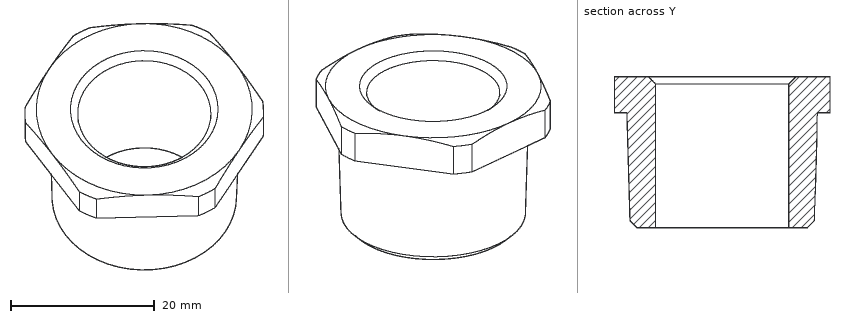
import cadquery as cq
import math

across_flats = 30.0
corner_diameter = 33.2
head_height = 5.0
chamfer_angle = 22.0

total_height = 21.0
shank_top_radius = 13.28
shank_end_radius = 12.85
end_chamfer = 1.0

bore_radius = 9.25
bore_chamfer = 1.0

shank_length = total_height - head_height


def hexagonal_head():
    """Hexagon with flats facing X, trimmed by a cylinder and a cone above."""
    flat_radius = across_flats / 2
    corner_radius = corner_diameter / 2
    chamfer_drop = (corner_radius - flat_radius) * math.tan(math.radians(chamfer_angle))
    corner_to_corner = across_flats / math.cos(math.radians(30))
    hexagon = (
        cq.Workplane("XY")
        .workplane(offset=shank_length)
        .polygon(6, corner_to_corner)
        .extrude(head_height)
        .rotate((0, 0, 0), (0, 0, 1), 30)
    )
    envelope = (
        cq.Workplane("XZ")
        .moveTo(0, shank_length)
        .lineTo(corner_radius, shank_length)
        .lineTo(corner_radius, total_height - chamfer_drop)
        .lineTo(flat_radius, total_height)
        .lineTo(0, total_height)
        .close()
        .revolve(360, (0, 0), (0, 1))
    )
    return hexagon.intersect(envelope)


def tapered_shank():
    """Slightly conical shank with a 45 degree chamfer on its free end."""
    return (
        cq.Workplane("XZ")
        .lineTo(shank_end_radius - end_chamfer, 0)
        .lineTo(shank_end_radius, end_chamfer)
        .lineTo(shank_top_radius, shank_length)
        .lineTo(0, shank_length)
        .close()
        .revolve(360, (0, 0), (0, 1))
    )


def chamfered_bore():
    """Through bore, widened by a 45 degree chamfer at the head face."""
    return (
        cq.Workplane("XZ")
        .lineTo(bore_radius, 0)
        .lineTo(bore_radius, total_height - bore_chamfer)
        .lineTo(bore_radius + bore_chamfer, total_height)
        .lineTo(0, total_height)
        .close()
        .revolve(360, (0, 0), (0, 1))
    )


result = hexagonal_head().union(tapered_shank()).cut(chamfered_bore())